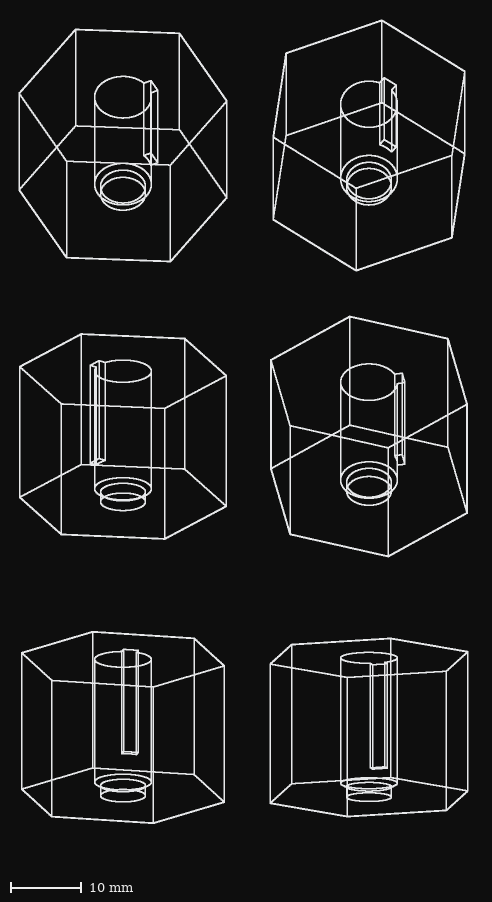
import cadquery as cq
import math

across_corners = 29.33
height = 20.0

socket_diameter = 8.0
socket_depth = 18.0
hole_diameter = 6.34
drill_point_angle = 118

key_width = 2.1
key_reach = 4.95
key_depth = 15.0

socket_radius = socket_diameter / 2
hole_radius = hole_diameter / 2
shoulder_top = height - socket_depth
shoulder_height = (socket_radius - hole_radius) / math.tan(math.radians(drill_point_angle / 2))
shoulder_bottom = shoulder_top - shoulder_height


def make_body():
    """Hexagonal prism with two corners on the X axis, standing on Z = 0."""
    return cq.Workplane("XY").polygon(6, across_corners).extrude(height)


def make_bore():
    """Socket, shoulder and through hole as one solid revolved about Z."""
    return (
        cq.Workplane("XZ")
        .lineTo(hole_radius, 0)
        .lineTo(hole_radius, shoulder_bottom)
        .lineTo(socket_radius, shoulder_top)
        .lineTo(socket_radius, height)
        .lineTo(0, height)
        .close()
        .revolve(360, (0, 0, 0), (0, 1, 0))
    )


def make_keyway():
    """Rectangular slot running from the bore axis out to the keyway's outer wall."""
    return (
        cq.Workplane("XY", origin=(0, 0, height - key_depth))
        .center(0, key_reach / 2)
        .rect(key_width, key_reach)
        .extrude(key_depth)
    )


result = make_body().cut(make_bore()).cut(make_keyway())